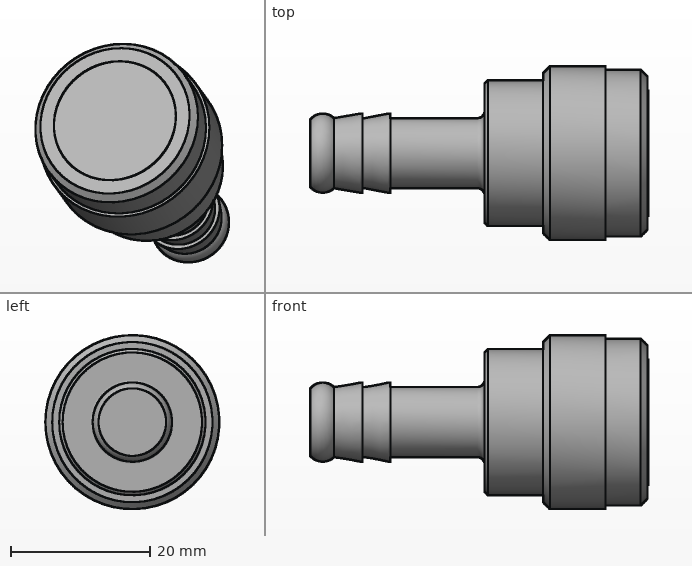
import cadquery as cq

total_length = 48.5
stem_radius = 10.1 / 2

nose_face_radius = 9.7 / 2
nose_crest_radius = 11.4 / 2
nose_crest_x = 1.8
nose_end = 3.4

barb_radius = 11.4 / 2
barb_pitch = 4.0
barb_crest_width = 0.3
first_barb_crest = 7.2
barb_count = 2
barb_gap = 0.3

spigot_start = 25.0
spigot_radius = 21.0 / 2
spigot_chamfer = 0.5
root_fillet = 1.0
plug_radius = 18.0 / 2

plug_projection = 0.1
ring_length = 15.0
ring_front_length = 9.0
ring_front_radius = 25.0 / 2
ring_rear_radius = 24.0 / 2
ring_chamfer = 1.0
ring_end = total_length - plug_projection
ring_start = ring_end - ring_length
ring_step = ring_start + ring_front_length
spigot_end = ring_step


def revolve_about_x(profile):
    """Revolve a closed XY profile one full turn about the X axis."""
    return profile.close().revolve(360, (0, 0, 0), (1, 0, 0))


def add_barbs(profile):
    """Append the barb cones, each with a narrow crest and a square back."""
    for index in range(barb_count):
        crest_start = first_barb_crest + index * barb_pitch
        crest_end = crest_start + barb_crest_width
        profile = profile.lineTo(crest_start, barb_radius)
        profile = profile.lineTo(crest_end, barb_radius)
        profile = profile.lineTo(crest_end, stem_radius)
        if index < barb_count - 1:
            profile = profile.lineTo(crest_end + barb_gap, stem_radius)
    return profile


def make_hose_stem():
    """Barbed stem, chamfered spigot and rear plug as one turned solid."""
    profile = (
        cq.Workplane("XY")
        .moveTo(0, 0)
        .lineTo(0, nose_face_radius)
        .threePointArc((nose_crest_x, nose_crest_radius), (nose_end, stem_radius))
    )
    profile = add_barbs(profile)
    profile = (
        profile.lineTo(spigot_start - root_fillet, stem_radius)
        .radiusArc((spigot_start, stem_radius + root_fillet), -root_fillet)
        .lineTo(spigot_start, spigot_radius - spigot_chamfer)
        .lineTo(spigot_start + spigot_chamfer, spigot_radius)
        .lineTo(spigot_end, spigot_radius)
        .lineTo(spigot_end, plug_radius)
        .lineTo(total_length, plug_radius)
        .lineTo(total_length, 0)
    )
    return revolve_about_x(profile)


def make_coupling_ring():
    """Stepped ring with chamfered ends and a bore that matches the stem."""
    profile = (
        cq.Workplane("XY")
        .moveTo(ring_start, spigot_radius)
        .lineTo(ring_start, ring_front_radius - ring_chamfer)
        .lineTo(ring_start + ring_chamfer, ring_front_radius)
        .lineTo(ring_step, ring_front_radius)
        .lineTo(ring_step, ring_rear_radius)
        .lineTo(ring_end - ring_chamfer, ring_rear_radius)
        .lineTo(ring_end, ring_rear_radius - ring_chamfer)
        .lineTo(ring_end, plug_radius)
        .lineTo(spigot_end, plug_radius)
        .lineTo(spigot_end, spigot_radius)
    )
    return revolve_about_x(profile)


hose_stem = make_hose_stem()
coupling_ring = make_coupling_ring()
result = cq.Compound.makeCompound([hose_stem.val(), coupling_ring.val()])